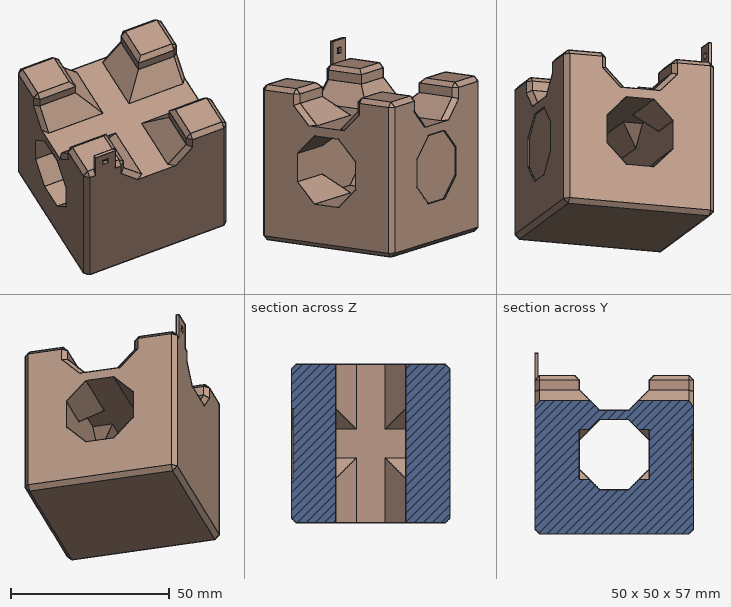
import cadquery as cq
import math

SIDE = 50.0
HALF = SIDE / 2
CHAMFER = 1.5

OCTAGON_WIDTH = 22.0
OCTAGON_APOTHEM = OCTAGON_WIDTH / 2
OCTAGON_RADIUS = OCTAGON_APOTHEM / math.cos(math.pi / 8)
GROOVE_FLOOR_Z = SIDE - OCTAGON_APOTHEM
RECESS_DEPTH = 0.5

TAB_THICKNESS = 1.0
TAB_WIDTH = 7.0
TAB_HEIGHT = 7.0
TAB_CENTRE_Y = -18.0
TAB_HOLE_SIDE = 1.8

TOLERANCE = 1e-4


def octagon_prism(start_y, length, centre_z):
    """Octagonal prism running along +Y, with flats facing up, down and sideways."""
    corner_angles = [math.pi / 8 + i * math.pi / 4 for i in range(8)]
    corners = [(OCTAGON_RADIUS * math.cos(a), OCTAGON_RADIUS * math.sin(a)) for a in corner_angles]
    outline = cq.Workplane("XZ", origin=(0, start_y, centre_z)).polyline(corners).close()
    return outline.extrude(-length)


def turn(shape, angle):
    """Rotate a shape about the Z axis."""
    return shape.rotate((0, 0, 0), (0, 0, 1), angle)


def grooved_cube():
    """Cube with two crossing half-octagon grooves, which leave four posts on top.

    Every outer edge is chamfered except where the groove floors meet the side faces.
    """
    cube = cq.Workplane("XY").box(SIDE, SIDE, SIDE, centered=(True, True, False))
    groove = octagon_prism(-HALF, SIDE, SIDE)
    cube = cube.cut(groove).cut(turn(groove, 90))
    outer_edges = cube.faces("<X or >X or <Y or >Y or <Z or >Z").edges()
    chamfered_edges = outer_edges.filter(
        lambda edge: edge.BoundingBox().zmax > GROOVE_FLOOR_Z + TOLERANCE
        or edge.BoundingBox().zmin < GROOVE_FLOOR_Z - TOLERANCE
    )
    return chamfered_edges.chamfer(CHAMFER)


def tab():
    """Thin tab with a square hole, flush with the +X face and rooted in the top chamfer."""
    plate = (
        cq.Workplane("XY")
        .box(TAB_THICKNESS, TAB_WIDTH, TAB_HEIGHT + CHAMFER, centered=(False, True, False))
        .translate((HALF - TAB_THICKNESS, TAB_CENTRE_Y, SIDE - CHAMFER))
    )
    hole = (
        cq.Workplane("XY")
        .box(TAB_THICKNESS, TAB_HOLE_SIDE, TAB_HOLE_SIDE, centered=(False, True, True))
        .translate((HALF - TAB_THICKNESS, TAB_CENTRE_Y, SIDE + TAB_HEIGHT / 2))
    )
    return plate.cut(hole)


body = grooved_cube()

body = body.cut(octagon_prism(-HALF, SIDE, HALF))

cavity = octagon_prism(-OCTAGON_APOTHEM, OCTAGON_WIDTH, HALF)
body = body.cut(turn(cavity, -90))

recess = octagon_prism(-HALF, RECESS_DEPTH, HALF)
body = body.cut(turn(recess, -90))

result = body.union(tab())